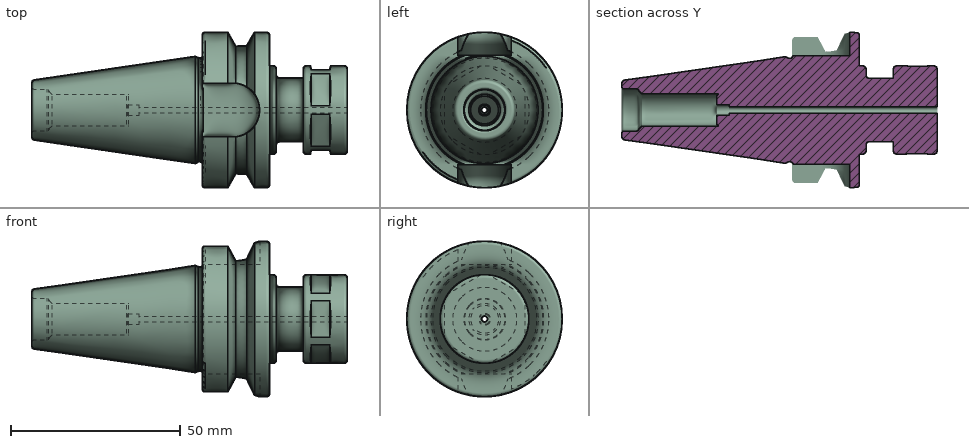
import cadquery as cq
import math


total_length = 93.4
gauge_plane_x = 48.5
flange_start_x = 50.4
flange_length = 20.0
collar_length = 2.0
nut_length = 13.1
flange_end_x = flange_start_x + flange_length
collar_end_x = flange_end_x + collar_length
nut_start_x = total_length - nut_length

gauge_radius = 31.8 / 2
taper_slope = 7 / 48
small_end_radius = gauge_radius - taper_slope * gauge_plane_x
relief_radius = 15.4
flange_radius = 46.0 / 2
neck_radius = 19.0 / 2
nut_radius = 26.2 / 2
collar_radius = nut_radius

edge_round = 1.0
flange_face_round = 0.9
collar_foot_round = 0.8

relief_start_x = 49.3
relief_foot_round = 0.8
recess_depth = 0.3
recess_floor_radius = 17.2
recess_mouth_radius = 17.5
recess_floor_x = flange_start_x + recess_depth

groove_floor_radius = 37.9 / 2
groove_floor_start_x = 60.3
groove_floor_end_x = 63.6
groove_side_angle = 30.0
groove_side_run = (flange_radius - groove_floor_radius) * math.tan(math.radians(groove_side_angle))

slot_width = 16.0
slot_end_x = 67.4
slot_floor_height = 16.2

flat_count = 6
flat_height = 12.0
flat_start_x = 82.75
flat_end_x = 88.2
flat_wall_angle = 15.0

pilot_radius = 12.3 / 2
pilot_mouth_round = 0.75
pilot_end_x = 4.5
seat_radius = 12.0 / 2
seat_start_x = 4.9
lead_radius = 10.4 / 2
lead_start_x = 5.4
bore_radius = 9.3 / 2
bore_start_x = 6.0
bore_end_x = 28.0
screw_face_radius = 8.2 / 2
screw_chamfer = bore_radius - screw_face_radius
socket_mouth_radius = 3.5 / 2
socket_radius = 3.0 / 2
socket_chamfer = socket_mouth_radius - socket_radius
socket_depth = 3.7
coolant_radius = 1.7 / 2

cut_margin = 0.9

OUTSIDE = 1
INSIDE = -1


def turned(profile):
    """Full turn about the X axis of a closed profile drawn as (x, radius)."""
    return profile.close().revolve(360, (0, 0, 0), (1, 0, 0))


def make_taper_and_flange():
    relief_foot_start_x = recess_floor_x - relief_foot_round
    profile = (
        cq.Workplane("XY")
        .moveTo(0, 0)
        .lineTo(0, small_end_radius)
        .lineTo(gauge_plane_x, gauge_radius)
        .lineTo(relief_start_x, relief_radius)
        .lineTo(relief_foot_start_x, relief_radius)
        .radiusArc((recess_floor_x, relief_radius + relief_foot_round), INSIDE * relief_foot_round)
        .lineTo(recess_floor_x, recess_floor_radius)
        .lineTo(flange_start_x, recess_mouth_radius)
        .lineTo(flange_start_x, flange_radius - flange_face_round)
        .radiusArc((flange_start_x + flange_face_round, flange_radius), OUTSIDE * flange_face_round)
        .lineTo(groove_floor_start_x - groove_side_run, flange_radius)
        .lineTo(groove_floor_start_x, groove_floor_radius)
        .lineTo(groove_floor_end_x, groove_floor_radius)
        .lineTo(groove_floor_end_x + groove_side_run, flange_radius)
        .lineTo(flange_end_x - edge_round, flange_radius)
        .radiusArc((flange_end_x, flange_radius - edge_round), OUTSIDE * edge_round)
        .lineTo(flange_end_x, 0)
    )
    return turned(profile).edges("<X").fillet(edge_round)


def make_collar_neck_and_nut():
    profile = (
        cq.Workplane("XY")
        .moveTo(flange_end_x - cut_margin, 0)
        .lineTo(flange_end_x - cut_margin, collar_radius)
        .lineTo(collar_end_x - edge_round, collar_radius)
        .radiusArc((collar_end_x, collar_radius - edge_round), OUTSIDE * edge_round)
        .lineTo(collar_end_x, neck_radius + collar_foot_round)
        .radiusArc((collar_end_x + collar_foot_round, neck_radius), INSIDE * collar_foot_round)
        .lineTo(nut_start_x, neck_radius)
        .lineTo(nut_start_x, nut_radius - edge_round)
        .radiusArc((nut_start_x + edge_round, nut_radius), OUTSIDE * edge_round)
        .lineTo(total_length - edge_round, nut_radius)
        .radiusArc((total_length, nut_radius - edge_round), OUTSIDE * edge_round)
        .lineTo(total_length, 0)
    )
    return turned(profile)


def make_drive_slot():
    """Cutter for the top slot: open toward the taper, rounded at its far end."""
    slot_height = flange_radius - slot_floor_height + cut_margin
    half_width = slot_width / 2
    round_center_x = slot_end_x - half_width
    return (
        cq.Workplane("XY", origin=(0, 0, slot_floor_height))
        .moveTo(gauge_plane_x, -half_width)
        .lineTo(round_center_x, -half_width)
        .threePointArc((slot_end_x, 0), (round_center_x, half_width))
        .lineTo(gauge_plane_x, half_width)
        .close()
        .extrude(slot_height)
    )


def make_wrench_flat():
    """Cutter for the flat facing +Y, with end walls that lean outward."""
    cut_height = nut_radius - flat_height + cut_margin
    wall_run = cut_height * math.tan(math.radians(flat_wall_angle))
    return (
        cq.Workplane("XY")
        .moveTo(flat_start_x, flat_height)
        .lineTo(flat_end_x, flat_height)
        .lineTo(flat_end_x + wall_run, flat_height + cut_height)
        .lineTo(flat_start_x - wall_run, flat_height + cut_height)
        .close()
        .extrude(nut_radius, both=True)
    )


def make_bore():
    """Stepped bore from the taper end, ending at the chamfered face of the inner screw."""
    profile = (
        cq.Workplane("XY")
        .moveTo(-cut_margin, 0)
        .lineTo(-cut_margin, pilot_radius + pilot_mouth_round)
        .lineTo(0, pilot_radius + pilot_mouth_round)
        .radiusArc((pilot_mouth_round, pilot_radius), INSIDE * pilot_mouth_round)
        .lineTo(pilot_end_x, pilot_radius)
        .lineTo(seat_start_x, seat_radius)
        .lineTo(lead_start_x, lead_radius)
        .lineTo(bore_start_x, bore_radius)
        .lineTo(bore_end_x + screw_chamfer, bore_radius)
        .lineTo(bore_end_x, screw_face_radius)
        .lineTo(bore_end_x, socket_mouth_radius)
        .lineTo(bore_end_x + socket_chamfer, socket_radius)
        .lineTo(bore_end_x + socket_depth, socket_radius)
        .lineTo(bore_end_x + socket_depth, coolant_radius)
        .lineTo(total_length + cut_margin, coolant_radius)
        .lineTo(total_length + cut_margin, 0)
    )
    return turned(profile)


result = make_taper_and_flange().union(make_collar_neck_and_nut())

for turn in (0, 180):
    result = result.cut(make_drive_slot().rotate((0, 0, 0), (1, 0, 0), turn))

for index in range(flat_count):
    turn = index * 360 / flat_count
    result = result.cut(make_wrench_flat().rotate((0, 0, 0), (1, 0, 0), turn))

result = result.cut(make_bore())